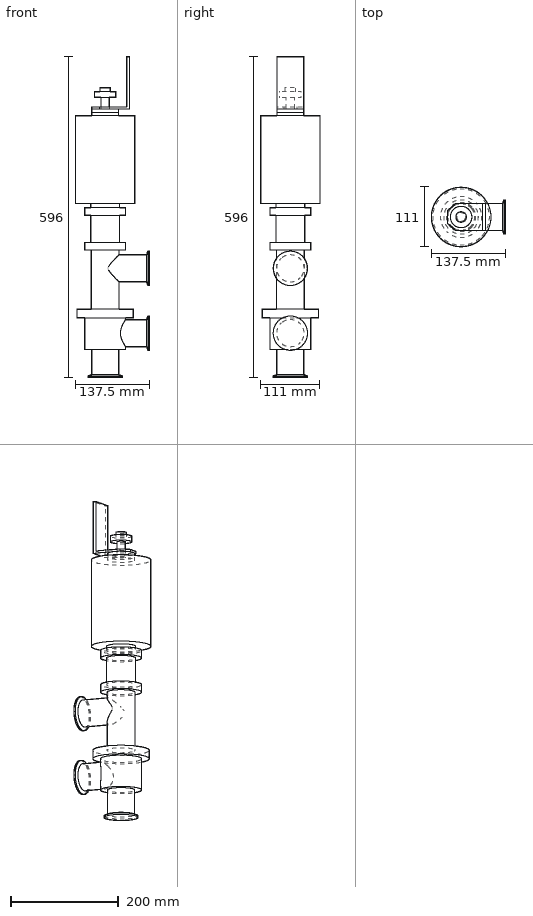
import cadquery as cq

TOTAL_HEIGHT = 596
STEM_TIP_TOP = 538.0
DISC_TOP = 531.0
DISC_BOTTOM = 520.0
PLATE_TOP = 502.5
PLATE_BOTTOM = 498.0
COLLAR_JOINT = 491.5
CYLINDER_TOP = 486.0
CYLINDER_BOTTOM = 323.0
UPPER_CLAMP_TOP = 315.0
LOWER_CLAMP_TOP = 251.0
CLAMP_HEIGHT = 14.5
BODY_FLANGE_TOP = 127.0
BODY_FLANGE_BOTTOM = 111.0
CHAMBER_BOTTOM = 52.0

STEM_DIAMETER = 16.0
STEM_TIP_DIAMETER = 19.5
DISC_DIAMETER = 40.0
COLLAR_DIAMETER = 50.0
CYLINDER_DIAMETER = 111.0
LANTERN_DIAMETER = 54.0
CLAMP_DIAMETER = 76.0
UPPER_PIPE_DIAMETER = 52.0
BODY_FLANGE_DIAMETER = 105.0
CHAMBER_DIAMETER = CLAMP_DIAMETER
PORT_DIAMETER = 50.5
FERRULE_DIAMETER = 64.0

PORT_REACH = 82.0
PORT_HEIGHTS = [202.5, 82.0]
FERRULE_RIM = 3.0
FERRULE_TAPER = 2.5

BRACKET_WIDTH = COLLAR_DIAMETER
BRACKET_LEFT = -25.0
BRACKET_RIGHT = 45.0
UPRIGHT_THICKNESS = 5.5
CORNER_CUT_X = 14.5
CORNER_CUT_Y = 13.0


def cylinder(diameter, bottom, top):
    """Vertical cylinder on the main axis."""
    return cq.Workplane("XY").workplane(offset=bottom).circle(diameter / 2).extrude(top - bottom)


def stack(sections):
    """One solid from (diameter, bottom, top) sections on the main axis."""
    solid = cylinder(*sections[0])
    for section in sections[1:]:
        solid = solid.union(cylinder(*section))
    return solid


def make_port(length):
    """Pipe extending along +Z, with its ferrule face at the origin."""
    pipe_radius = PORT_DIAMETER / 2
    rim_radius = FERRULE_DIAMETER / 2
    return (
        cq.Workplane("XZ")
        .moveTo(0, 0)
        .lineTo(rim_radius, 0)
        .lineTo(rim_radius, FERRULE_RIM)
        .lineTo(pipe_radius, FERRULE_RIM + FERRULE_TAPER)
        .lineTo(pipe_radius, length)
        .lineTo(0, length)
        .close()
        .revolve(360, (0, 0, 0), (0, 1, 0))
    )


def make_actuator():
    """Cylinder with lantern and clamps below, collar and position stem above."""
    return stack([
        (CLAMP_DIAMETER, LOWER_CLAMP_TOP - CLAMP_HEIGHT, LOWER_CLAMP_TOP),
        (LANTERN_DIAMETER, LOWER_CLAMP_TOP, CYLINDER_BOTTOM),
        (CLAMP_DIAMETER, UPPER_CLAMP_TOP - CLAMP_HEIGHT, UPPER_CLAMP_TOP),
        (CYLINDER_DIAMETER, CYLINDER_BOTTOM, CYLINDER_TOP),
        (COLLAR_DIAMETER, CYLINDER_TOP, COLLAR_JOINT),
        (STEM_DIAMETER, COLLAR_JOINT, DISC_BOTTOM),
        (DISC_DIAMETER, DISC_BOTTOM, DISC_TOP),
        (STEM_TIP_DIAMETER, DISC_TOP, STEM_TIP_TOP),
    ])


def make_valve_body():
    """Flanged pipe and chamber with a bottom port and two side ports."""
    body = stack([
        (CHAMBER_DIAMETER, CHAMBER_BOTTOM, BODY_FLANGE_BOTTOM),
        (BODY_FLANGE_DIAMETER, BODY_FLANGE_BOTTOM, BODY_FLANGE_TOP),
        (UPPER_PIPE_DIAMETER, BODY_FLANGE_TOP, LOWER_CLAMP_TOP - CLAMP_HEIGHT),
    ])
    body = body.union(make_port(CHAMBER_BOTTOM))
    for height in PORT_HEIGHTS:
        side_port = make_port(PORT_REACH).rotate((0, 0, 0), (0, 1, 0), -90)
        body = body.union(side_port.translate((PORT_REACH, 0, height)))
    return body


def make_bracket():
    """Plate with two cut corners, an upright and a round foot, bored for the stem."""
    half_width = BRACKET_WIDTH / 2
    plate = (
        cq.Workplane("XY")
        .workplane(offset=PLATE_BOTTOM)
        .moveTo(BRACKET_RIGHT, -half_width)
        .lineTo(BRACKET_RIGHT, half_width)
        .lineTo(BRACKET_LEFT + CORNER_CUT_X, half_width)
        .lineTo(BRACKET_LEFT, half_width - CORNER_CUT_Y)
        .lineTo(BRACKET_LEFT, CORNER_CUT_Y - half_width)
        .lineTo(BRACKET_LEFT + CORNER_CUT_X, -half_width)
        .close()
        .extrude(PLATE_TOP - PLATE_BOTTOM)
    )
    upright = cq.Workplane("XY").box(
        UPRIGHT_THICKNESS, BRACKET_WIDTH, TOTAL_HEIGHT - PLATE_BOTTOM, centered=(False, True, False)
    ).translate((BRACKET_RIGHT - UPRIGHT_THICKNESS, 0, PLATE_BOTTOM))
    foot = cylinder(COLLAR_DIAMETER, COLLAR_JOINT, PLATE_BOTTOM)
    stem_hole = cylinder(STEM_DIAMETER, COLLAR_JOINT, PLATE_TOP)
    return plate.union(upright).union(foot).cut(stem_hole)


actuator = make_actuator()
valve_body = make_valve_body()
bracket = make_bracket()

result = cq.Compound.makeCompound([actuator.val(), valve_body.val(), bracket.val()])